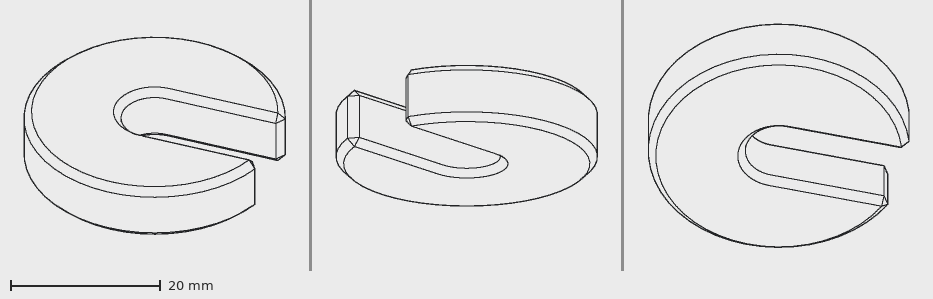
import cadquery as cq
import math

outer_diameter = 34.97
thickness = 8.0
slot_width = 9.0
chamfer = 1.0
slot_wall_end_x = 15.6
rim_end_x = 16.47
cutter_reach = 3.5

outer_radius = outer_diameter / 2
slot_radius = slot_width / 2


def disc():
    """Disc with both rims chamfered."""
    return cq.Workplane("XY").circle(outer_radius).extrude(thickness).edges().chamfer(chamfer)


def slot_outline(radius):
    """Round-ended slot outline from the disc centre out past the rim."""
    return (
        cq.Workplane("XY", origin=(outer_radius, 0, 0))
        .slot2D(outer_diameter + 2 * radius, 2 * radius)
    )


def slot_cutter():
    """Slot through the disc, flared at 45 degrees to chamfer its edges on both faces."""
    passage = slot_outline(slot_radius).extrude(thickness)
    flare = slot_outline(slot_radius + chamfer).extrude(chamfer, taper=45)
    top_flare = flare.mirror("XY").translate((0, 0, thickness))
    return passage.union(flare).union(top_flare)


def mouth_flat_cutter():
    """Cutter for the +Y mouth corner: an upright flat that leans back to the face corners."""
    rim_end_y = math.sqrt(outer_radius**2 - rim_end_x**2)
    flat_run_x = rim_end_x - slot_wall_end_x
    flat_run_y = rim_end_y - slot_radius
    flat_length = math.hypot(flat_run_x, flat_run_y)
    along = (flat_run_x / flat_length, flat_run_y / flat_length)
    outward = (along[1], -along[0])

    corner_y = slot_radius + chamfer
    corner_x = math.sqrt((outer_radius - chamfer) ** 2 - corner_y**2)
    lean = (slot_wall_end_x - corner_x) * outward[0] + (slot_radius - corner_y) * outward[1]

    profile_plane = cq.Plane(
        origin=(slot_wall_end_x, slot_radius, 0),
        xDir=(outward[0], outward[1], 0),
        normal=(-along[0], -along[1], 0),
    )
    profile = [
        (-lean, 0),
        (0, chamfer),
        (0, thickness - chamfer),
        (-lean, thickness),
        (cutter_reach, thickness),
        (cutter_reach, 0),
    ]
    return cq.Workplane(profile_plane).polyline(profile).close().extrude(cutter_reach, both=True)


corner_cutter = mouth_flat_cutter()
result = disc().cut(slot_cutter()).cut(corner_cutter).cut(corner_cutter.mirror("XZ"))